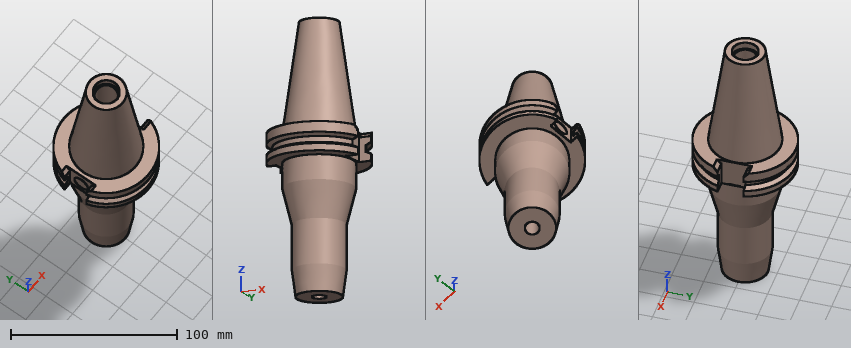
import cadquery as cq

total_length = 169.85
gauge_diameter = 44.45
taper_length = 68.25
taper_ratio = 7 / 24
gauge_z = total_length - taper_length
taper_end_diameter = gauge_diameter - taper_length * taper_ratio

flange_diameter = 63.5
flange_top_drop = 1.0
groove_drop = 11.1
flange_bottom_drop = 19.05
flange_top_z = gauge_z - flange_top_drop
groove_z = gauge_z - groove_drop
flange_bottom_z = gauge_z - flange_bottom_drop
groove_floor_diameter = 56.5
groove_floor_width = 3.6
groove_flank_width = 1.75

shoulder_z = 67.0
neck_diameter = 33.0
neck_top_z = 44.5
tip_top_z = 16.3
tip_diameter = 28.6

slot_width = 16.38
slot_chamfer = 2.8
slot_floor_left = 25.0
slot_floor_right = 22.6

recess_diameter = 10.0
recess_depth = 0.1

lead_bore_diameter = 16.0
lead_bore_depth = 4.7
thread_bore_diameter = 14.0
thread_bore_depth = 30.0
clearance_bore_diameter = 10.9
clearance_bore_depth = taper_length
through_bore_diameter = 8.8


def make_body():
    """Solid of revolution about Z: nose, flange with groove, and taper."""
    flange_radius = flange_diameter / 2
    groove_floor_radius = groove_floor_diameter / 2
    gauge_radius = gauge_diameter / 2
    floor_half = groove_floor_width / 2
    mouth_half = floor_half + groove_flank_width
    profile = [
        (0, 0),
        (tip_diameter / 2, 0),
        (neck_diameter / 2, tip_top_z),
        (neck_diameter / 2, neck_top_z),
        (gauge_radius, shoulder_z),
        (gauge_radius, flange_bottom_z),
        (flange_radius, flange_bottom_z),
        (flange_radius, groove_z - mouth_half),
        (groove_floor_radius, groove_z - floor_half),
        (groove_floor_radius, groove_z + floor_half),
        (flange_radius, groove_z + mouth_half),
        (flange_radius, flange_top_z),
        (gauge_radius, flange_top_z),
        (gauge_radius, gauge_z),
        (taper_end_diameter / 2, total_length),
        (0, total_length),
    ]
    return cq.Workplane("YZ").polyline(profile).close().revolve(360, (0, 0), (0, 1))


def make_slot_cutter(side, floor_distance):
    """Slot with chamfered upper edges, running outward from its floor; side is -1 or +1 along X."""
    half_width = slot_width / 2
    mouth_half = half_width + slot_chamfer
    section = [
        (-half_width, flange_bottom_z),
        (half_width, flange_bottom_z),
        (half_width, flange_top_z - slot_chamfer),
        (mouth_half, flange_top_z),
        (-mouth_half, flange_top_z),
        (-half_width, flange_top_z - slot_chamfer),
    ]
    floor_plane = cq.Workplane("YZ").workplane(offset=side * floor_distance)
    return floor_plane.polyline(section).close().extrude(side * flange_diameter / 2)


def make_recess_cutter():
    """Shallow round recess in the left slot floor, level with the groove."""
    floor_plane = cq.Workplane("YZ").workplane(offset=-slot_floor_left)
    return floor_plane.center(0, groove_z).circle(recess_diameter / 2).extrude(recess_depth)


def make_bore_cutter(diameter, depth):
    """Cylinder running down the axis from the small end of the taper."""
    top_plane = cq.Workplane("XY").workplane(offset=total_length)
    return top_plane.circle(diameter / 2).extrude(-depth)


bores = [
    (lead_bore_diameter, lead_bore_depth),
    (thread_bore_diameter, thread_bore_depth),
    (clearance_bore_diameter, clearance_bore_depth),
    (through_bore_diameter, total_length),
]

result = make_body()
result = result.cut(make_slot_cutter(-1, slot_floor_left))
result = result.cut(make_slot_cutter(1, slot_floor_right))
result = result.cut(make_recess_cutter())
for bore_diameter, bore_depth in bores:
    result = result.cut(make_bore_cutter(bore_diameter, bore_depth))